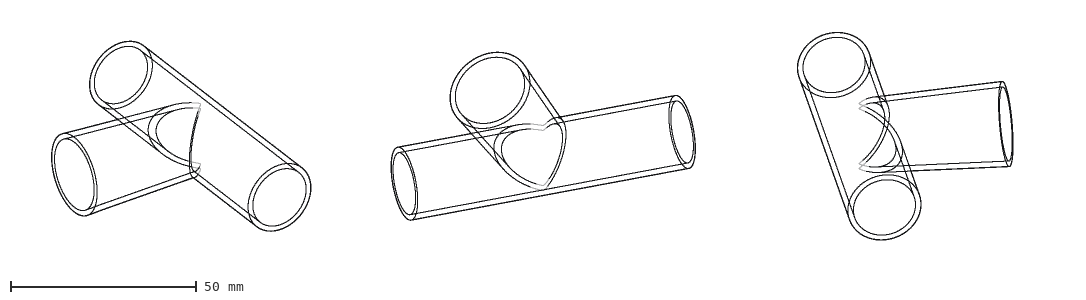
import cadquery as cq

tube_length = 80.0
tube_diameter = 20.0
wall = 1.5

branch_reach = 40.0
branch_end_diameter = 23.0

tube_radius = tube_diameter / 2
branch_end_radius = branch_end_diameter / 2


def straight_cylinder(radius):
    """Cylinder along X over the full tube length."""
    return cq.Workplane("YZ").circle(radius).extrude(tube_length / 2, both=True)


def branch_cone(root_radius, end_radius):
    """Cone frustum from the tube axis to the open end of the branch."""
    return cq.Workplane("XY").add(
        cq.Solid.makeCone(
            root_radius,
            end_radius,
            branch_reach,
            pnt=cq.Vector(0, 0, 0),
            dir=cq.Vector(0, -1, 0),
        )
    )


body = straight_cylinder(tube_radius).union(branch_cone(tube_radius, branch_end_radius))

tube_bore = straight_cylinder(tube_radius - wall)
branch_bore = branch_cone(tube_radius - wall, branch_end_radius - wall)

result = body.cut(tube_bore).cut(branch_bore)